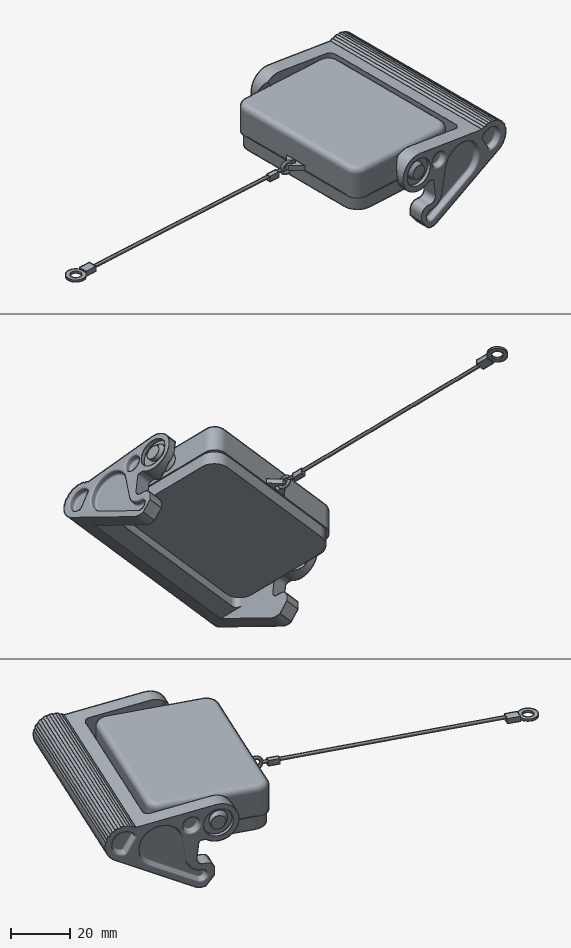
import cadquery as cq
import math


lever_width = 75.0
arm_thickness = 5.7
pivot_radius = 7.4
grip_center = (33.56, -1.5)
grip_radius = 6.95
hook_center = (6.0, -20.1)
hook_radius = 4.7
hook_nose_round = 2.8
hook_flat_start_z = -20.6
hook_flat_end_angle = 250.0
grip_end_y = 29.5
neck_y = 7.7
neck_step_y = 7.0
notch_top_z = -5.9
notch_radius = 1.2
neck_fillet = 2.5
bridge_front_y = 24.5
bridge_bottom_z = -10.7
bridge_corner_radius = 2.2

groove_count = 6
groove_radius = 0.8
groove_depth = 0.25
groove_first_angle = 112.0
groove_pitch_angle = 18.6

pocket_depth = 2.5
pocket_edge_round = 0.7
grip_pocket_corner_radius = 0.8
grip_pocket_radius = 4.4
grip_pocket_chord_distance = 2.5
main_pocket_center = (20.5, -5.2)
main_pocket_bend_radius = 5.0
pocket_margin = 2.6
round_pocket_center = (9.5, 0.75)
round_pocket_radius = 3.0
pivot_recess_radius = 5.4
pivot_recess_depth = 1.5

ramp_direction = 206.0
ramp_start = 1.7
ramp_slope = 0.6
ramp_depth = 2.8

stud_base_radius = 3.5
stud_tip_radius = 2.7
stud_collar_radius = 3.3
stud_collar_offset = (-0.5, 0.5)

cover_length = 60.3
cover_width = 43.9
cover_top_z = 6.4
cover_step_z = -5.4
cover_bottom_z = -10.7
cover_corner_radius = 4.7
cover_top_round = 2.2
skirt_inset = 0.3
skirt_corner_radius = 6.0

tab_base_width = 9.0
tab_tip_width = 1.3
tab_tip_y = -26.0
tab_top_z = -3.2
tab_thickness = 2.0
tab_hole_y = -23.3
tab_hole_radius = 1.0

cable_x = -0.2
cable_z = -4.2
cable_radius = 0.59
loop_center_y = -26.1
loop_radius = 2.1
ferrule_start_y = -30.5
ferrule_length = 4.2
ferrule_width = 1.8
ferrule_height = 2.2
ferrule_z = -4.7
terminal_x = -0.7
terminal_z = -4.5
terminal_end_y = -126.9
terminal_radius = 3.5
terminal_hole_radius = 2.0
terminal_thickness = 0.8
barrel_start_y = -115.5
barrel_length = 4.7
barrel_width = 3.3
barrel_height = 2.0

center_dy = grip_center[0] - hook_center[0]
center_dz = grip_center[1] - hook_center[1]
edge_angle = math.degrees(
    math.atan2(center_dz, center_dy)
    - math.asin((grip_radius - hook_radius) / math.hypot(center_dy, center_dz))
)
lower_normal_angle = edge_angle - 90

arm_outer_x = -lever_width / 2
arm_inner_x = arm_outer_x + arm_thickness


def polar(center, radius, degrees):
    """Point (Y, Z) at a distance and angle from a centre."""
    angle = math.radians(degrees)
    return (center[0] + radius * math.cos(angle), center[1] + radius * math.sin(angle))


def side_plane(x):
    """Sketch plane with local axes along Y and Z, extruding toward +X."""
    return cq.Workplane("YZ", origin=(x, 0, 0))


def mirrored(body):
    return body.union(body.mirror("YZ"))


def lever_profile(x):
    """Side outline of the lever: grip, pivot eye, notch and hook."""
    grip_top_angle = 180 - math.degrees(math.acos((grip_center[0] - grip_end_y) / grip_radius))
    grip_top = polar(grip_center, grip_radius, grip_top_angle)
    top_tangent_angle = math.degrees(
        math.atan2(grip_top[1], grip_top[0]) + math.acos(pivot_radius / math.hypot(*grip_top))
    )
    notch_top_y = math.sqrt(pivot_radius**2 - notch_top_z**2)
    hook_top_z = hook_center[1] + hook_radius
    hook_nose_y = hook_center[0] - hook_radius
    return (
        side_plane(x)
        .moveTo(*grip_top)
        .lineTo(*polar((0, 0), pivot_radius, top_tangent_angle))
        .threePointArc((-pivot_radius, 0), (notch_top_y, notch_top_z))
        .lineTo(neck_step_y - notch_radius, notch_top_z)
        .tangentArcPoint((neck_step_y, notch_top_z - notch_radius), relative=False)
        .lineTo(neck_y, hook_top_z + neck_fillet)
        .tangentArcPoint((neck_y - neck_fillet, hook_top_z), relative=False)
        .lineTo(hook_nose_y + hook_nose_round, hook_top_z)
        .tangentArcPoint((hook_nose_y, hook_top_z - hook_nose_round), relative=False)
        .lineTo(hook_nose_y, hook_flat_start_z)
        .lineTo(*polar(hook_center, hook_radius, hook_flat_end_angle))
        .threePointArc(
            polar(hook_center, hook_radius, 270),
            polar(hook_center, hook_radius, lower_normal_angle),
        )
        .lineTo(*polar(grip_center, grip_radius, lower_normal_angle))
        .threePointArc(polar(grip_center, grip_radius, 0), grip_top)
        .close()
    )


def grip_pocket():
    """D-shaped pocket, its chord square to the lower edge of the lever."""
    chord_half_angle = math.degrees(math.acos(grip_pocket_chord_distance / grip_pocket_radius))
    chord_normal_angle = edge_angle + 180
    chord_start = polar(grip_center, grip_pocket_radius, chord_normal_angle + chord_half_angle)
    chord_end = polar(grip_center, grip_pocket_radius, chord_normal_angle - chord_half_angle)
    far_side = polar(grip_center, grip_pocket_radius, edge_angle)
    return (
        side_plane(arm_outer_x)
        .moveTo(*chord_start)
        .threePointArc(far_side, chord_end)
        .close()
        .extrude(pocket_depth)
        .edges("|X")
        .fillet(grip_pocket_corner_radius)
    )


def main_pocket():
    """Teardrop pocket: large arc at the top, narrow round tip inside the hook."""
    tip_radius = hook_radius - pocket_margin
    tip_lower = polar(hook_center, tip_radius, lower_normal_angle)
    normal = polar((0, 0), 1, lower_normal_angle)
    arc_radius = (
        (tip_lower[0] - main_pocket_center[0]) * normal[0]
        + (tip_lower[1] - main_pocket_center[1]) * normal[1]
    )
    bend_center = (hook_center[0], hook_center[1] + tip_radius + main_pocket_bend_radius)
    bend_to_arc_y = main_pocket_center[0] - bend_center[0]
    bend_to_arc_z = main_pocket_center[1] - bend_center[1]
    bend_to_arc = math.hypot(bend_to_arc_y, bend_to_arc_z)
    wall_normal_angle = math.degrees(
        math.atan2(bend_to_arc_z, bend_to_arc_y)
        - math.acos((arc_radius + main_pocket_bend_radius) / bend_to_arc)
    )
    return (
        side_plane(arm_outer_x)
        .moveTo(*polar(main_pocket_center, arc_radius, lower_normal_angle))
        .threePointArc(
            polar(main_pocket_center, arc_radius, 45),
            polar(main_pocket_center, arc_radius, 180 + wall_normal_angle),
        )
        .lineTo(*polar(bend_center, main_pocket_bend_radius, wall_normal_angle))
        .tangentArcPoint(polar(hook_center, tip_radius, 90), relative=False)
        .threePointArc(polar(hook_center, tip_radius, 180), tip_lower)
        .close()
        .extrude(pocket_depth)
    )


def round_pocket():
    return (
        side_plane(arm_outer_x)
        .center(*round_pocket_center)
        .circle(round_pocket_radius)
        .extrude(pocket_depth)
    )


def round_floor_edge(pocket):
    return pocket.faces(">X").edges().fillet(pocket_edge_round)


def round_pocket_rims(arm):
    outer_face = arm.faces("<X").val()
    rim_edges = [edge for wire in outer_face.innerWires() for edge in wire.Edges()]
    return arm.newObject(rim_edges).fillet(pocket_edge_round)


def lead_in_ramp():
    """Wedge that thins the front of the arm from its inner face."""
    reach = 2 * pivot_radius
    ramp_end = ramp_start + ramp_depth / ramp_slope
    return (
        cq.Workplane("XY")
        .moveTo(ramp_start, 0)
        .lineTo(ramp_end, -ramp_depth)
        .lineTo(reach, -ramp_depth)
        .lineTo(reach, 0)
        .close()
        .extrude(pivot_radius, both=True)
        .rotate((0, 0, 0), (1, 1, 0), 180)
        .rotate((0, 0, 0), (1, 0, 0), ramp_direction)
        .translate((arm_inner_x, 0, 0))
    )


def make_arm():
    arm = lever_profile(arm_outer_x).extrude(arm_thickness)
    for pocket in (grip_pocket(), main_pocket(), round_pocket()):
        arm = arm.cut(round_floor_edge(pocket))
    arm = round_pocket_rims(arm)
    arm = arm.cut(side_plane(arm_outer_x).circle(pivot_recess_radius).extrude(pivot_recess_depth))
    return arm.cut(lead_in_ramp())


def make_bridge():
    """Handle bar between the arms, with rounded inner corners at the arms."""
    span = lever_width - 2 * arm_thickness
    opening_length = 2 * bridge_front_y
    opening = (
        cq.Workplane("XY")
        .box(span, opening_length, lever_width)
        .edges("|Z and >Y")
        .fillet(bridge_corner_radius)
    )
    body = lever_profile(arm_inner_x).extrude(span)
    root_y = bridge_front_y - bridge_corner_radius
    envelope = (
        cq.Workplane("XY", origin=(0, 0, bridge_bottom_z))
        .box(span, lever_width, lever_width, centered=(True, False, False))
        .translate((0, root_y, 0))
    )
    return body.intersect(envelope).cut(opening)


def cut_grooves(lever):
    for index in range(groove_count):
        angle = groove_first_angle - index * groove_pitch_angle
        center = polar(grip_center, grip_radius + groove_radius - groove_depth, angle)
        groove = side_plane(arm_outer_x).center(*center).circle(groove_radius).extrude(lever_width)
        lever = lever.cut(groove)
    return lever


def make_stud():
    """Conical pivot stud from the cover side wall to the outer face of the arm."""
    wall_x = -cover_length / 2
    root = side_plane(wall_x).circle(stud_base_radius).extrude(stud_base_radius)
    cone = (
        side_plane(arm_inner_x)
        .circle(stud_tip_radius)
        .workplane(offset=wall_x - arm_inner_x)
        .circle(stud_base_radius)
        .loft()
    )
    pin = side_plane(arm_outer_x).circle(stud_tip_radius).extrude(arm_thickness)
    collar = (
        side_plane(arm_outer_x)
        .circle(stud_tip_radius)
        .workplane(offset=pivot_recess_depth)
        .center(*stud_collar_offset)
        .circle(stud_collar_radius)
        .loft()
    )
    return root.union(cone).union(pin).union(collar)


def make_cover():
    lid = (
        cq.Workplane("XY", origin=(0, 0, cover_step_z))
        .rect(cover_length, cover_width)
        .extrude(cover_top_z - cover_step_z)
        .edges("|Z")
        .fillet(cover_corner_radius)
        .faces(">Z")
        .edges()
        .fillet(cover_top_round)
    )
    skirt = (
        cq.Workplane("XY", origin=(0, 0, cover_bottom_z))
        .rect(cover_length - 2 * skirt_inset, cover_width - 2 * skirt_inset)
        .extrude(cover_step_z - cover_bottom_z)
        .edges("|Z")
        .fillet(skirt_corner_radius)
    )
    return lid.union(skirt)


def make_tab():
    wall_y = -cover_width / 2
    tab = (
        cq.Workplane("XY", origin=(0, 0, tab_top_z))
        .polyline([
            (-tab_base_width / 2, wall_y),
            (-tab_tip_width / 2, tab_tip_y),
            (tab_tip_width / 2, tab_tip_y),
            (tab_base_width / 2, wall_y),
        ])
        .close()
        .extrude(-tab_thickness)
    )
    hole = (
        cq.Workplane("XY", origin=(0, tab_hole_y, tab_top_z))
        .circle(tab_hole_radius)
        .extrude(-tab_thickness)
    )
    return tab.cut(hole)


def make_tether():
    loop = cq.Workplane(
        cq.Solid.makeTorus(
            loop_radius, cable_radius, cq.Vector(0, loop_center_y, cable_z), cq.Vector(1, 0, 0)
        )
    )
    cable_start_y = loop_center_y - loop_radius
    cable_end_y = barrel_start_y - barrel_length
    cable = (
        cq.Workplane("XZ", origin=(cable_x, cable_start_y, cable_z))
        .circle(cable_radius)
        .extrude(cable_start_y - cable_end_y)
    )
    ferrule = (
        cq.Workplane("XZ", origin=(0, ferrule_start_y, ferrule_z))
        .rect(ferrule_width, ferrule_height)
        .extrude(ferrule_length)
    )
    return loop.union(cable).union(ferrule)


def make_terminal():
    ring_center_y = terminal_end_y + terminal_radius
    ring = (
        cq.Workplane("XY", origin=(terminal_x, ring_center_y, terminal_z))
        .circle(terminal_radius)
        .circle(terminal_hole_radius)
        .extrude(terminal_thickness / 2, both=True)
    )
    barrel = (
        cq.Workplane("XZ", origin=(terminal_x, barrel_start_y, terminal_z))
        .rect(barrel_width, barrel_height)
        .extrude(barrel_length)
    )
    return ring.union(barrel)


lever = cut_grooves(mirrored(make_arm()).union(make_bridge()))
result = (
    make_cover()
    .union(mirrored(make_stud()))
    .union(lever)
    .union(make_tab())
    .union(make_tether())
    .union(make_terminal())
)